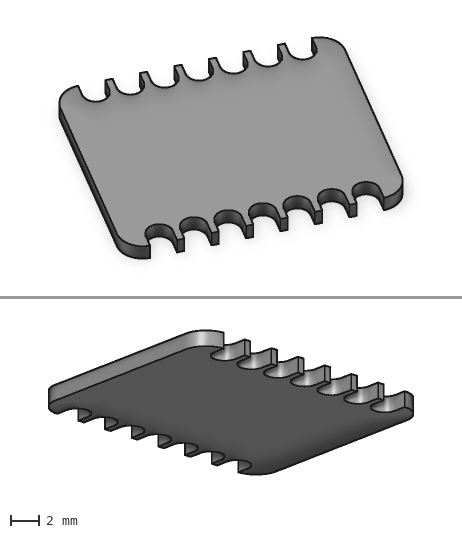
import cadquery as cq

width = 17.5
length = 21.0
thickness = 1.2
corner_radius = 1.9

notch_count = 7
notch_pitch = 2.55
notch_width = 2.0
notch_depth = 2.0


def make_board():
    """Flat board with rounded vertical corners."""
    board = cq.Workplane("XY").box(width, length, thickness)
    return board.edges("|Z").fillet(corner_radius)


def make_notches():
    """Slots centred on the long edges, so that half of each cuts inward."""
    edge_points = [
        (side * width / 2, (i - (notch_count - 1) / 2) * notch_pitch)
        for side in (-1, 1)
        for i in range(notch_count)
    ]
    slots = cq.Workplane("XY").pushPoints(edge_points).slot2D(2 * notch_depth, notch_width)
    return slots.extrude(thickness, both=True)


result = make_board().cut(make_notches())